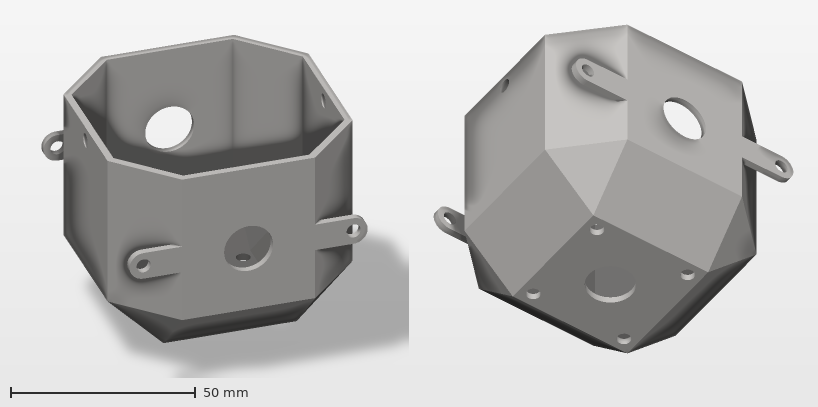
import cadquery as cq

box_width = 70.0
box_height = 60.0
wall = 2.0
outer_corner = 16.0
inner_corner = 15.0

large_hole_diameter = 14.0
small_hole_diameter = 4.0
floor_hole_spacing = 30.0
rim_hole_depth = 4.0

strap_height = 35.0
strap_width = 8.0
left_strap_length = 72
right_strap_length = 68.0


def face_through(points):
    """Flat face bounded by straight edges through the given points."""
    outline = cq.Wire.makePolygon([cq.Vector(*point) for point in points], close=True)
    return cq.Face.makeFromWires(outline)


def tapered_octagon(width, corner, bottom, top):
    """Octagonal prism that narrows at 45 degrees to a square at its bottom."""
    side = width / 2
    flat = side - corner
    knee = bottom + corner
    octagon = [
        (side, -flat), (side, flat), (flat, side), (-flat, side),
        (-side, flat), (-side, -flat), (-flat, -side), (flat, -side),
    ]
    square = [(flat, -flat), (flat, flat), (-flat, flat), (-flat, -flat)]
    rim_points = [(x, y, top) for x, y in octagon]
    knee_points = [(x, y, knee) for x, y in octagon]
    base_points = [(x, y, bottom) for x, y in square]

    faces = [face_through(rim_points), face_through(base_points)]
    for i in range(8):
        j = (i + 1) % 8
        faces.append(face_through([knee_points[i], knee_points[j], rim_points[j], rim_points[i]]))
    for i in range(4):
        start = base_points[i]
        end = base_points[(i + 1) % 4]
        slope_start = knee_points[2 * i]
        slope_end = knee_points[2 * i + 1]
        next_slope_start = knee_points[(2 * i + 2) % 8]
        faces.append(face_through([start, end, slope_end, slope_start]))
        faces.append(face_through([end, next_slope_start, slope_end]))
    return cq.Workplane(cq.Solid.makeSolid(cq.Shell.makeShell(faces)))


def strap(length, inner_x):
    """Round-ended bar along Y, one wall thick, with a hole at each end."""
    hole_spacing = length - strap_width
    return (
        cq.Workplane("YZ", origin=(inner_x, 0, strap_height))
        .slot2D(length, strap_width)
        .extrude(wall)
        .faces(">X")
        .workplane(origin=(inner_x, 0, strap_height))
        .pushPoints([(-hole_spacing / 2, 0), (hole_spacing / 2, 0)])
        .hole(small_hole_diameter)
    )


outside = tapered_octagon(box_width, outer_corner, 0, box_height)
cavity = tapered_octagon(box_width - 2 * wall, inner_corner, wall, box_height)
result = outside.cut(cavity)

result = result.union(strap(left_strap_length, -box_width / 2))
result = result.union(strap(right_strap_length, box_width / 2 - wall))

floor_holes = (
    cq.Workplane("XY")
    .circle(large_hole_diameter / 2)
    .rarray(floor_hole_spacing, floor_hole_spacing, 2, 2)
    .circle(small_hole_diameter / 2)
    .extrude(wall)
)

side_holes = (
    cq.Workplane("YZ", origin=(0, 0, strap_height))
    .circle(large_hole_diameter / 2)
    .extrude(box_width / 2, both=True)
)

rim_holes = (
    cq.Workplane("XZ", origin=(0, 0, box_height - rim_hole_depth))
    .circle(small_hole_diameter / 2)
    .extrude(box_width / 2, both=True)
)

result = result.cut(floor_holes).cut(side_holes).cut(rim_holes)